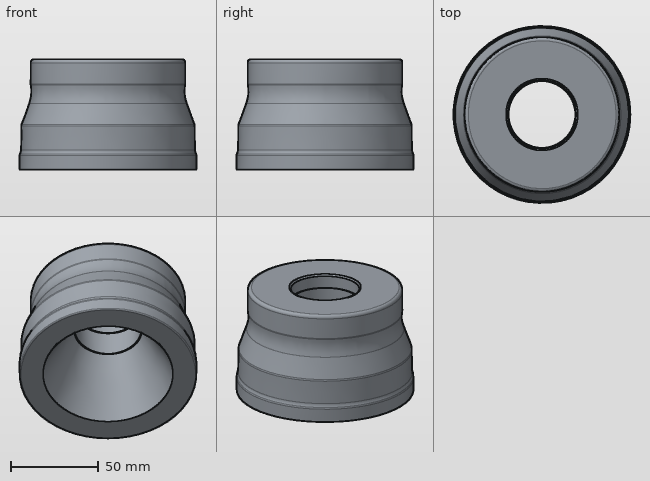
import cadquery as cq
import math

height = 63.5
base_radius = 50.8

base_edge_round = 0.7
step_bottom = 8.3
step_angle = 28.0
step_convex_radius = 2.0
step_concave_radius = 4.7

skirt_taper = 1.0
skirt_top = 25.7
shoulder_angle = 20.0
skirt_edge_round = 3.0

waist_level = 45.1
waist_arc_radius = 20.3
crown_radius = 44.4
crown_lower_round = 3.0
crown_upper_round = 2.0

bore_radius = 19.6
bore_chamfer = 1.0
flare_angle = 25.0
sleeve_wall = 0.5
sleeve_bottom = 37.8
sleeve_top = 55.4


def sine(angle):
    return math.sin(math.radians(angle))


def cosine(angle):
    return math.cos(math.radians(angle))


def tangent(angle):
    return math.tan(math.radians(angle))


def revolve_about_z(profile):
    return profile.close().revolve(360, (0, 0, 0), (0, 1, 0))


def outer_body():
    convex_center = base_radius - step_convex_radius
    half_angle = step_angle / 2
    step_middle_radius = convex_center + step_convex_radius * cosine(step_angle)
    step_middle = step_bottom + step_convex_radius * sine(step_angle)
    concave_center = step_middle_radius + step_concave_radius * cosine(step_angle)
    step_top = step_middle + step_concave_radius * sine(step_angle)
    skirt_bottom_radius = concave_center - step_concave_radius
    convex_point = (
        convex_center + step_convex_radius * cosine(half_angle),
        step_bottom + step_convex_radius * sine(half_angle),
    )
    concave_point = (
        concave_center - step_concave_radius * cosine(half_angle),
        step_top - step_concave_radius * sine(half_angle),
    )

    skirt_top_radius = skirt_bottom_radius - (skirt_top - step_top) * tangent(skirt_taper)

    shoulder_top = waist_level - waist_arc_radius * sine(shoulder_angle)
    shoulder_top_radius = skirt_top_radius - (shoulder_top - skirt_top) * tangent(shoulder_angle)
    waist_center = shoulder_top_radius + waist_arc_radius * cosine(shoulder_angle)
    waist_radius = waist_center - waist_arc_radius
    crown_bottom = waist_level + math.sqrt(waist_arc_radius**2 - (waist_center - crown_radius) ** 2)

    body = revolve_about_z(
        cq.Workplane("XZ")
        .lineTo(base_radius, 0)
        .lineTo(base_radius, step_bottom)
        .threePointArc(convex_point, (step_middle_radius, step_middle))
        .threePointArc(concave_point, (skirt_bottom_radius, step_top))
        .lineTo(skirt_top_radius, skirt_top)
        .lineTo(shoulder_top_radius, shoulder_top)
        .threePointArc((waist_radius, waist_level), (crown_radius, crown_bottom))
        .lineTo(crown_radius, height)
        .lineTo(0, height)
    )

    edge_rounds = [
        (0, base_edge_round),
        (skirt_top, skirt_edge_round),
        (crown_bottom, crown_lower_round),
        (height, crown_upper_round),
    ]
    for level, radius in edge_rounds:
        rim = cq.selectors.NearestToPointSelector((0, 0, level))
        body = body.edges("%CIRCLE").edges(rim).fillet(radius)
    return body


def bore():
    flare_radius = bore_radius + sleeve_bottom * tangent(flare_angle)
    return revolve_about_z(
        cq.Workplane("XZ")
        .lineTo(flare_radius, 0)
        .lineTo(bore_radius, sleeve_bottom)
        .lineTo(bore_radius, height - bore_chamfer)
        .lineTo(bore_radius + bore_chamfer, height)
        .lineTo(0, height)
    )


def make_housing():
    return outer_body().cut(bore())


def make_sleeve():
    return (
        cq.Workplane("XY", origin=(0, 0, sleeve_bottom))
        .circle(bore_radius)
        .circle(bore_radius - sleeve_wall)
        .extrude(sleeve_top - sleeve_bottom)
    )


housing = make_housing()
sleeve = make_sleeve()

result = cq.Compound.makeCompound([housing.val(), sleeve.val()])